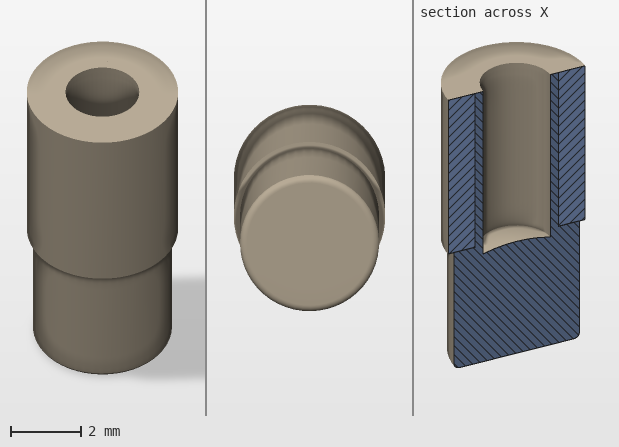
import cadquery as cq

total_height = 9.14
collar_diameter = 4.32
collar_height = 5.21
shank_diameter = 3.97
foot_height = 0.15
foot_inset = 0.19

neck_diameter = 2.61
bore_diameter = 2.1
bore_depth = 5.48
dome_height = 0.14

shank_height = total_height - collar_height


def make_collar():
    """Plain ring that sits on the shank shoulder, flush with the top of the neck."""
    return (
        cq.Workplane("XY")
        .workplane(offset=shank_height)
        .circle(collar_diameter / 2)
        .circle(neck_diameter / 2)
        .extrude(collar_height)
    )


def make_bore_cutter():
    """Round bore whose floor rises to a shallow spherical dome at the centre."""
    bore_radius = bore_diameter / 2
    floor_edge = total_height - bore_depth
    dome_radius = (bore_radius**2 + dome_height**2) / (2 * dome_height)
    dome_center = floor_edge + dome_height - dome_radius
    bore = (
        cq.Workplane("XY")
        .workplane(offset=floor_edge)
        .circle(bore_radius)
        .extrude(bore_depth)
    )
    dome = cq.Workplane("XY").sphere(dome_radius).translate((0, 0, dome_center))
    return bore.cut(dome)


def make_core():
    """Shank with a rounded foot and a narrower, bored neck rising through the collar."""
    shank_radius = shank_diameter / 2
    shank = (
        cq.Workplane("XZ")
        .lineTo(shank_radius - foot_inset, 0)
        .tangentArcPoint((shank_radius, foot_height), relative=False)
        .lineTo(shank_radius, shank_height)
        .lineTo(0, shank_height)
        .close()
        .revolve(360, (0, 0), (0, 1))
    )
    neck = cq.Workplane("XY").circle(neck_diameter / 2).extrude(total_height)
    return shank.union(neck).cut(make_bore_cutter())


collar = make_collar()
core = make_core()

result = cq.Compound.makeCompound([collar.val(), core.val()])